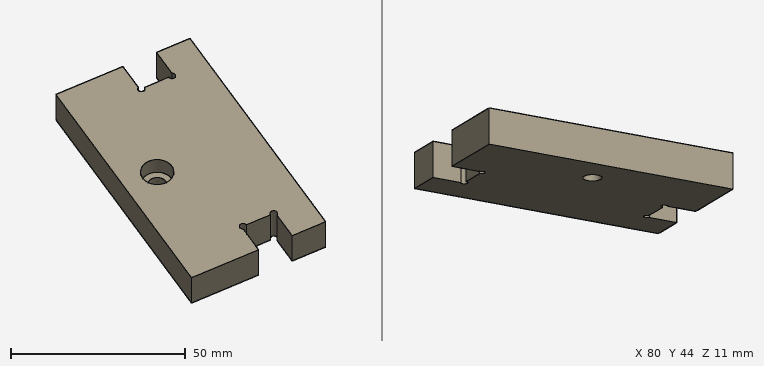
import cadquery as cq

length = 80.0
width = 44.0
thickness = 11.0

slot_depth = 10.0
slot_width = width / 4
slot_center_y = width / 8
relief_radius = 1.0
relief_inset = 0.5

hole_diameter = 5.5
counterbore_diameter = 9.5
counterbore_depth = thickness / 2
hole_center_y = -width / 4

plate = cq.Workplane("XY").box(length, width, thickness, centered=(True, True, False))


def end_slot(side):
    """Slot cutter for one end (side is -1 or 1), with round reliefs at its inner corners."""
    floor_x = side * (length / 2 - slot_depth)
    slot = (
        cq.Workplane("XY")
        .center(floor_x + side * slot_depth / 2, slot_center_y)
        .rect(slot_depth, slot_width)
        .extrude(thickness)
    )
    relief_offset_y = slot_width / 2 - relief_inset
    centers = [(floor_x, slot_center_y + edge * relief_offset_y) for edge in (-1, 1)]
    reliefs = cq.Workplane("XY").pushPoints(centers).circle(relief_radius).extrude(thickness)
    return slot.union(reliefs)


for side in (-1, 1):
    plate = plate.cut(end_slot(side))

result = (
    plate.faces(">Z")
    .workplane(origin=(0, hole_center_y, thickness))
    .cboreHole(hole_diameter, counterbore_diameter, counterbore_depth)
)